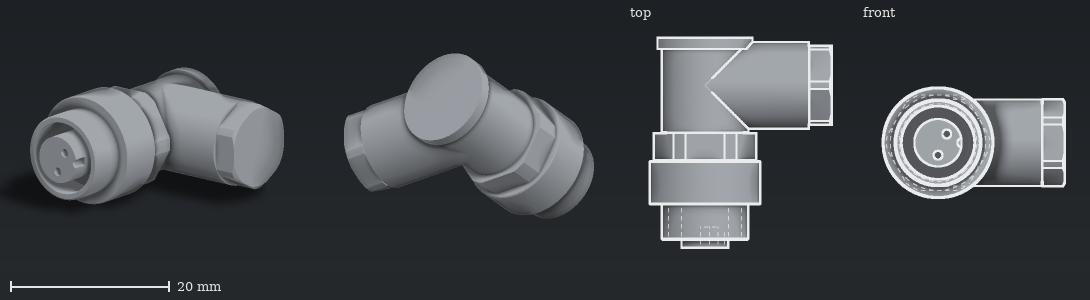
import cadquery as cq
import math

insert_radius = 3.0
insert_hole_diameter = 1.1
insert_hole_depth = 2.65
insert_hole_circle_radius = 1.56
insert_hole_angles = (45, 270)
key_depth = 1.85

body_radius = 5.49
sleeve_front_y = 0.98
sleeve_chamfer = 0.2
bore_radius = 4.58
bore_chamfer = 0.08

ring_radius = 7.0
ring_front_y = 5.45
ring_back_y = 10.95
ring_chamfer = 0.13

relief_gap = 0.1
neck_radius = 4.9

hex_front_y = ring_back_y + relief_gap
hex_back_y = 14.45
hex_across_flats = 12.0
hex_corner_radius = 6.5

body_front_y = hex_back_y + relief_gap
cap_front_y = 25.05
cap_radius = 6.02
total_length = 26.5

arm_y = 20.48
arm_end_x = 13.1
arm_nut_start_x = arm_end_x + relief_gap
arm_nut_end_x = 16.0
arm_nut_across_flats = 10.0
arm_nut_corner_radius = 5.5
arm_nut_chamfer_length = 0.26
arm_nut_chamfer_radial = 0.42


def rod(radius, start_y, end_y, x=0, z=0):
    """Cylinder along +Y between two stations."""
    start = cq.Vector(x, start_y, z)
    return cq.Workplane(cq.Solid.makeCylinder(radius, end_y - start_y, start, cq.Vector(0, 1, 0)))


def arm_rod(radius, start_x, end_x):
    """Cylinder along +X on the arm axis between two stations."""
    start = cq.Vector(start_x, arm_y, 0)
    return cq.Workplane(cq.Solid.makeCylinder(radius, end_x - start_x, start, cq.Vector(1, 0, 0)))


def hex_bar(plane, across_flats, length):
    """Hexagonal bar with two corners on the plane's local X axis."""
    corner_diameter = across_flats / math.cos(math.radians(30))
    return cq.Workplane(plane).polygon(6, corner_diameter).extrude(length)


def make_coupling_nut():
    """Hexagon with rounded corners, with flats facing up and down."""
    plane = cq.Plane(origin=(0, hex_front_y, 0), xDir=(1, 0, 0), normal=(0, 1, 0))
    hexagon = hex_bar(plane, hex_across_flats, hex_back_y - hex_front_y)
    return hexagon.intersect(rod(hex_corner_radius, hex_front_y, hex_back_y))


def make_arm_nut():
    """Hexagon with corners up and down, turned round and chamfered at its outer end."""
    plane = cq.Plane(origin=(arm_nut_start_x, arm_y, 0), xDir=(0, 0, 1), normal=(1, 0, 0))
    hexagon = hex_bar(plane, arm_nut_across_flats, arm_nut_end_x - arm_nut_start_x)
    blank = arm_rod(arm_nut_corner_radius, arm_nut_start_x, arm_nut_end_x)
    blank = blank.faces(">X").edges().chamfer(arm_nut_chamfer_length, arm_nut_chamfer_radial)
    return hexagon.intersect(blank)


def make_sleeve():
    """Hollow mating sleeve, closed where the ring begins."""
    sleeve = rod(body_radius, sleeve_front_y, ring_front_y)
    sleeve = sleeve.faces("<Y").edges().chamfer(sleeve_chamfer)
    sleeve = sleeve.cut(rod(bore_radius, sleeve_front_y, ring_front_y))
    return sleeve.faces("<Y").edges(cq.selectors.RadiusNthSelector(0)).chamfer(bore_chamfer)


def make_insert():
    """Contact carrier with two contact holes and a keying notch in its rim."""
    insert = rod(insert_radius, 0, ring_front_y)
    hole_radius = insert_hole_diameter / 2
    for angle in insert_hole_angles:
        x = insert_hole_circle_radius * math.cos(math.radians(angle))
        z = insert_hole_circle_radius * math.sin(math.radians(angle))
        insert = insert.cut(rod(hole_radius, 0, insert_hole_depth, x, z))
    return insert.cut(rod(hole_radius, 0, key_depth, insert_radius))


def make_ring():
    ring = rod(ring_radius, ring_front_y, ring_back_y)
    return ring.edges().chamfer(ring_chamfer)


seam_turn = 90
elbow = rod(body_radius, body_front_y, cap_front_y).rotate((0, 0, 0), (0, 1, 0), seam_turn)
elbow = elbow.union(rod(cap_radius, cap_front_y, total_length))
elbow = elbow.union(arm_rod(body_radius, 0, arm_end_x))

main_neck = rod(neck_radius, ring_back_y, body_front_y)
arm_neck = arm_rod(neck_radius, arm_end_x, arm_nut_start_x)

result = (
    elbow.union(main_neck)
    .union(arm_neck)
    .union(make_coupling_nut())
    .union(make_arm_nut())
    .union(make_ring())
    .union(make_sleeve())
    .union(make_insert())
)